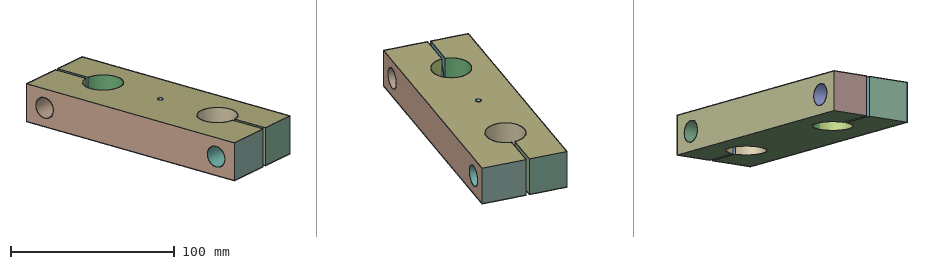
import cadquery as cq
import math

length = 160.0
width = 56.0
height = 25.0

bore_diameter = 25.0
bore_spacing = 88.0
bore_offset_y = 2.0
slit_width = 2.0

screw_diameter = 13.5
screw_spacing = 132.0

pilot_diameter = 1.6
mouth_diameter = 3.5
mouth_angle = 60.0
pilot_end_depth = 3.2
tip_angle = 120.0

block = cq.Workplane("XY").box(length, width, height)

bores = (
    cq.Workplane("XY")
    .pushPoints([(side * bore_spacing / 2, bore_offset_y) for side in (-1, 1)])
    .circle(bore_diameter / 2)
    .extrude(height / 2, both=True)
)

slit_length = (length - bore_spacing) / 2
slits = (
    cq.Workplane("XY")
    .pushPoints([(side * (length - slit_length) / 2, bore_offset_y) for side in (-1, 1)])
    .rect(slit_length, slit_width)
    .extrude(height / 2, both=True)
)

screw_holes = (
    cq.Workplane("XZ")
    .pushPoints([(side * screw_spacing / 2, 0) for side in (-1, 1)])
    .circle(screw_diameter / 2)
    .extrude(width / 2, both=True)
)

pilot_radius = pilot_diameter / 2
mouth_radius = mouth_diameter / 2
mouth_depth = (mouth_radius - pilot_radius) / math.tan(math.radians(mouth_angle / 2))
tip_depth = pilot_end_depth + pilot_radius / math.tan(math.radians(tip_angle / 2))
centre_hole = (
    cq.Workplane("XZ")
    .moveTo(0, 0)
    .lineTo(mouth_radius, 0)
    .lineTo(pilot_radius, -mouth_depth)
    .lineTo(pilot_radius, -pilot_end_depth)
    .lineTo(0, -tip_depth)
    .close()
    .revolve(360, (0, 0), (0, 1))
    .translate((0, bore_offset_y, height / 2))
)

result = block.cut(bores).cut(slits).cut(screw_holes).cut(centre_hole)